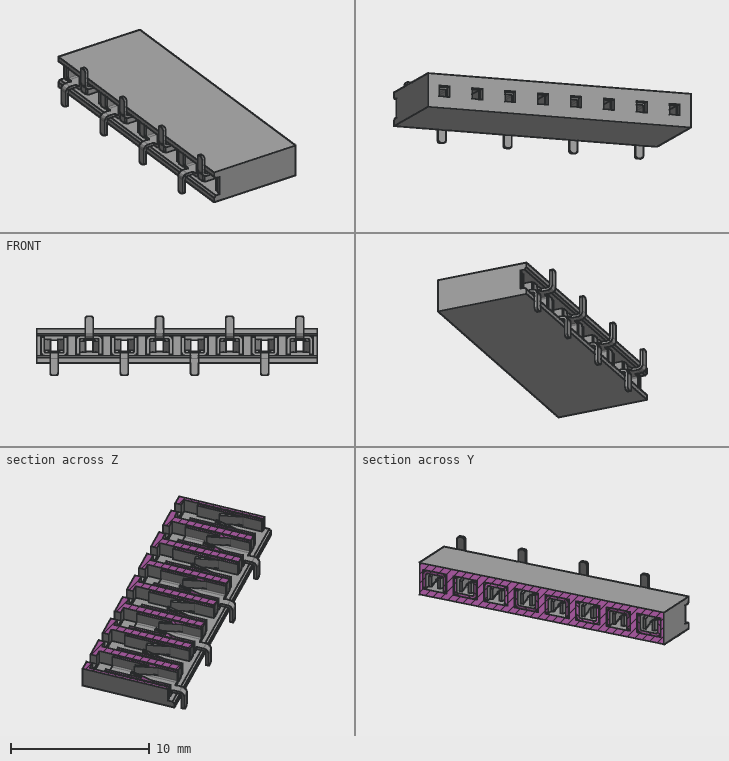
import cadquery as cq

contact_count = 8
pitch = 2.54
housing_length = contact_count * pitch
housing_depth = 7.1
housing_height = 2.5
overall_height = 4.3

recess_depth = 0.5
recess_height = 1.44
recess_chamfer = 0.15

cavity_width = 1.95
mating_wall = 0.5
mating_opening = 0.8

strip = 0.22
clip_width = 1.9
clip_wall = 0.25
clip_height = 1.35
clip_length = 5.0
clip_outer_radius = 0.3
clip_inner_radius = 0.1
leg_width = 0.6
leg_reach = 0.4
leg_tip_height = overall_height / 2
leg_tip_radius = 0.2
leg_bend_radius = 0.18

arm_height = 0.8
arm_center_z = 0.06
arm_gap = 0.52
arm_start = 1.5
arm_length = 1.65

floor_z = -recess_height / 2
first_contact_x = -(contact_count - 1) * pitch / 2
contact_positions = [first_contact_x + i * pitch for i in range(contact_count)]


def box(width, depth, height, x, y, z):
    """A box centred on x and z that starts at y and runs towards +Y."""
    return cq.Workplane("XY").box(width, depth, height, centered=(True, False, True)).translate((x, y, z))


def make_housing():
    housing = box(housing_length, housing_depth, housing_height, 0, 0, 0)

    half_height = recess_height / 2
    half_mouth = half_height + recess_chamfer
    recess = (
        cq.Workplane("YZ")
        .polyline(
            [
                (0, -half_mouth),
                (recess_chamfer, -half_height),
                (recess_depth, -half_height),
                (recess_depth, half_height),
                (recess_chamfer, half_height),
                (0, half_mouth),
            ]
        )
        .close()
        .extrude(housing_length / 2, both=True)
    )
    housing = housing.cut(recess)

    cavity_depth = housing_depth - recess_depth - mating_wall
    for x in contact_positions:
        housing = housing.cut(box(cavity_width, cavity_depth, recess_height, x, recess_depth, 0))
        housing = housing.cut(box(mating_opening, housing_depth, mating_opening, x, recess_depth, 0))
    return housing


def make_clip():
    """U-shaped channel that lies on the cavity floor and is open at the top."""
    channel = (
        box(clip_width, clip_length, clip_height, 0, recess_depth, floor_z + clip_height / 2)
        .edges("|Y and <Z")
        .fillet(clip_outer_radius)
    )
    bore_width = clip_width - 2 * clip_wall
    bore_center_z = floor_z + strip + clip_height / 2
    bore = (
        box(bore_width, clip_length, clip_height, 0, recess_depth, bore_center_z)
        .edges("|Y and <Z")
        .fillet(clip_inner_radius)
    )
    return channel.cut(bore)


def make_spring_arm():
    """Arm that leans from the left wall of the clip towards its middle."""
    wall_x = -clip_width / 2 + clip_wall
    tip_x = -arm_gap / 2
    start_y = recess_depth + arm_start
    tip_y = start_y + arm_length
    return (
        cq.Workplane("XY", origin=(0, 0, arm_center_z - arm_height / 2))
        .polyline(
            [
                (wall_x - strip / 2, start_y),
                (wall_x, start_y),
                (tip_x, tip_y),
                (tip_x - strip, tip_y),
                (wall_x - strip / 2, start_y + strip),
            ]
        )
        .close()
        .extrude(arm_height)
    )


def make_leg():
    """Solder leg that runs out over the recess floor and bends down."""
    outer_radius = leg_bend_radius + strip
    top_z = floor_z + strip
    leg = (
        cq.Workplane("YZ")
        .moveTo(recess_depth + strip, floor_z)
        .lineTo(recess_depth + strip, top_z)
        .lineTo(outer_radius - leg_reach, top_z)
        .radiusArc((-leg_reach, top_z - outer_radius), -outer_radius)
        .lineTo(-leg_reach, -leg_tip_height)
        .lineTo(strip - leg_reach, -leg_tip_height)
        .lineTo(strip - leg_reach, top_z - outer_radius)
        .radiusArc((outer_radius - leg_reach, floor_z), leg_bend_radius)
        .close()
        .extrude(leg_width / 2, both=True)
    )
    return leg.edges("|Y and <Z").fillet(leg_tip_radius)


def make_contact():
    arm = make_spring_arm()
    return make_clip().union(arm).union(arm.mirror("YZ")).union(make_leg())


housing = make_housing()
contact = make_contact()

contacts = []
for index, x in enumerate(contact_positions):
    turn = 180 * (index % 2)
    contacts.append(contact.rotate((0, 0, 0), (0, 1, 0), turn).translate((x, 0, 0)))

result = cq.Compound.makeCompound([housing.val(), *[item.val() for item in contacts]])